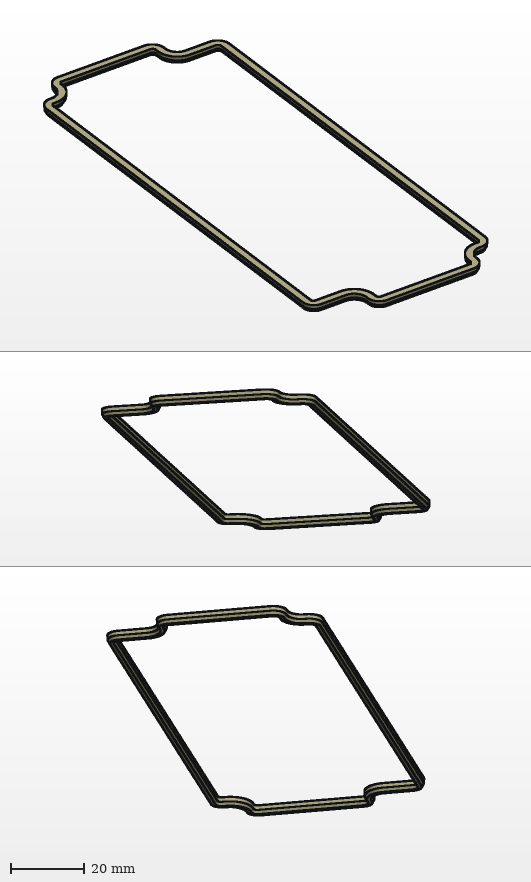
import cadquery as cq
import math

length = 146.3
width = 60.3
height = 2.3

cord_width = 2.5
taper_height = 1.0
draft_inset = 0.12
taper_inset = 0.55

deep_notch_x = 64.7
deep_notch_y = 14.3
shallow_notch_x = 65.1
shallow_notch_y = 22.0

outer_corner_radius = 3.8
inner_corner_radius = 0.9
outer_notch_radius = 4.0
inner_notch_radius = outer_notch_radius + cord_width


def outline_corners(inset):
    """Corners of the outline, moved inward by the inset, as (x, y, is_notch)."""
    end_x = length / 2 - inset
    side_y = width / 2 - inset
    shallow_x = shallow_notch_x - inset
    shallow_y = shallow_notch_y - inset
    deep_x = deep_notch_x - inset
    deep_y = deep_notch_y - inset
    half_turn = [
        (end_x, shallow_y, False),
        (shallow_x, shallow_y, True),
        (shallow_x, side_y, False),
        (-deep_x, side_y, False),
        (-deep_x, deep_y, True),
        (-end_x, deep_y, False),
    ]
    return half_turn + [(-x, -y, is_notch) for x, y, is_notch in half_turn]


def top_face(inset, corner_radius, notch_radius):
    """Flat plate at the top level whose outline has all bends rounded."""
    corners = outline_corners(inset)
    points = [(x, y) for x, y, _ in corners]
    plate = cq.Workplane("XY").polyline(points).close().extrude(height)
    for x, y, is_notch in corners:
        bend = plate.edges(cq.selectors.NearestToPointSelector((x, y, height / 2)))
        plate = bend.fillet(notch_radius if is_notch else corner_radius)
    return plate.faces(">Z")


def tapered_body(face, direction):
    """Body below the face: drafted first, then tapered down to the bottom.

    A direction of 1 narrows the body downward, -1 widens it.
    """
    draft_height = height - taper_height
    draft_angle = math.degrees(math.atan2(draft_inset, draft_height))
    taper_angle = math.degrees(math.atan2(taper_inset, taper_height))
    upper = face.wires().toPending().workplane(invert=True).extrude(
        draft_height, combine=False, taper=direction * draft_angle
    )
    lower = upper.faces("<Z").wires().toPending().workplane().extrude(
        taper_height, combine=False, taper=direction * taper_angle
    )
    return upper.union(lower)


outer_body = tapered_body(top_face(0, outer_corner_radius, outer_notch_radius), 1)
opening = tapered_body(top_face(cord_width, inner_corner_radius, inner_notch_radius), -1)
result = outer_body.cut(opening)